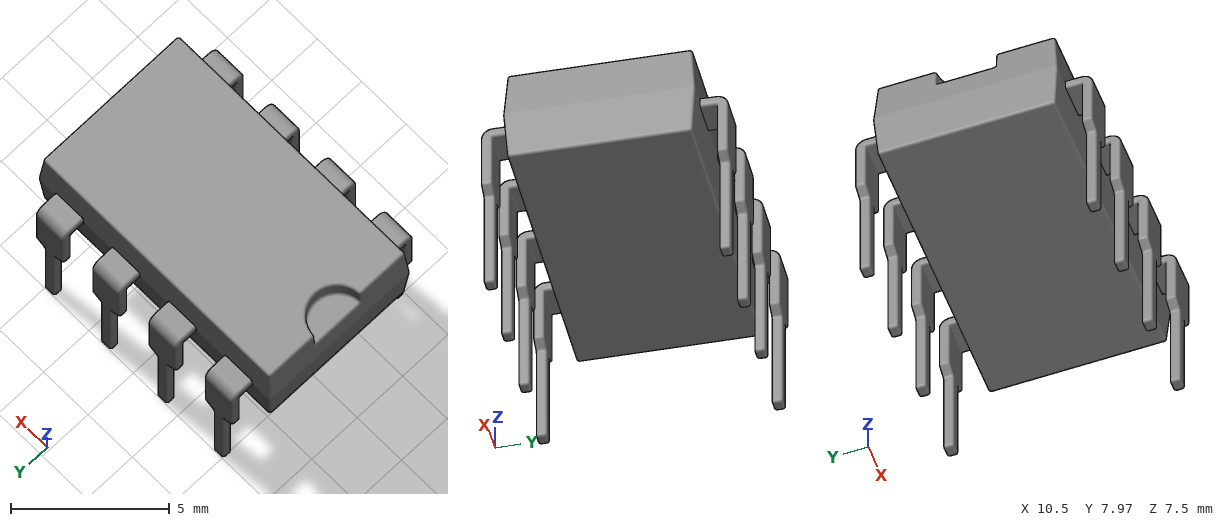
import cadquery as cq
import math

BODY_LENGTH = 10.46
BODY_WIDTH = 6.19
BODY_HEIGHT = 3.35
DRAFT_ANGLE = 4.0
BODY_EDGE_RADIUS = 0.1
TOTAL_HEIGHT = 7.5
LEAD_SPAN = 7.97

half_height = BODY_HEIGHT / 2
draft_inset = half_height * math.tan(math.radians(DRAFT_ANGLE))

NOTCH_RADIUS = 1.0
NOTCH_DEPTH = 0.7
notch_centre_x = -BODY_LENGTH / 2 + draft_inset
notch_floor_z = half_height - NOTCH_DEPTH

LEADS_PER_ROW = 4
LEAD_PITCH = 2.54
LEAD_THICKNESS = 0.36
LEAD_WIDTH = 1.27
LEAD_TIP_WIDTH = 0.47
LEAD_TOP_Z = 0.2
BEND_RADIUS = 0.38
SHOULDER_Z = -2.09
SHOULDER_ANGLE = 30.0
SHOULDER_RADIUS = 0.126
LEAD_EDGE_RADIUS = 0.1
EMBED_DEPTH = 0.5

lead_outer_y = -LEAD_SPAN / 2
lead_inner_y = -BODY_WIDTH / 2 + EMBED_DEPTH
lead_bottom_z = half_height - TOTAL_HEIGHT
shoulder_run = (LEAD_WIDTH - LEAD_TIP_WIDTH) / 2
shoulder_drop = shoulder_run * math.tan(math.radians(SHOULDER_ANGLE))


def make_body():
    """Two drafted halves with a round end notch; all edges but the parting line are rounded."""
    plain_half = (
        cq.Workplane("XY")
        .rect(BODY_LENGTH, BODY_WIDTH)
        .extrude(half_height, taper=DRAFT_ANGLE)
    )
    notch = (
        cq.Workplane("XY", origin=(notch_centre_x, 0, notch_floor_z))
        .circle(NOTCH_RADIUS)
        .extrude(NOTCH_DEPTH)
    )
    upper_half = plain_half.cut(notch).edges("not <Z").fillet(BODY_EDGE_RADIUS)
    lower_half = plain_half.edges("not <Z").fillet(BODY_EDGE_RADIUS).mirror("XY")
    return upper_half.union(lower_half)


def make_lead():
    """One lead of the -Y row, centred on X = 0."""
    side_profile = (
        cq.Workplane("YZ")
        .moveTo(lead_inner_y, LEAD_TOP_Z)
        .lineTo(lead_outer_y, LEAD_TOP_Z)
        .lineTo(lead_outer_y, lead_bottom_z)
        .lineTo(lead_outer_y + LEAD_THICKNESS, lead_bottom_z)
        .lineTo(lead_outer_y + LEAD_THICKNESS, LEAD_TOP_Z - LEAD_THICKNESS)
        .lineTo(lead_inner_y, LEAD_TOP_Z - LEAD_THICKNESS)
        .close()
        .extrude(LEAD_WIDTH / 2, both=True)
    )
    outer_corner = cq.selectors.NearestToPointSelector((0, lead_outer_y, LEAD_TOP_Z))
    inner_corner = cq.selectors.NearestToPointSelector(
        (0, lead_outer_y + LEAD_THICKNESS, LEAD_TOP_Z - LEAD_THICKNESS)
    )
    lead = side_profile.edges("|X").edges(inner_corner).fillet(BEND_RADIUS - LEAD_THICKNESS)
    lead = lead.edges("|X").edges(outer_corner).fillet(BEND_RADIUS)

    for side in (-1, 1):
        wide_x = side * LEAD_WIDTH / 2
        tip_x = side * LEAD_TIP_WIDTH / 2
        waste = (
            cq.Workplane("XZ")
            .moveTo(wide_x, SHOULDER_Z)
            .lineTo(tip_x, SHOULDER_Z - shoulder_drop)
            .lineTo(tip_x, lead_bottom_z)
            .lineTo(wide_x, lead_bottom_z)
            .close()
            .extrude(LEAD_SPAN)
        )
        lead = lead.cut(waste)
    shoulder_zone = cq.selectors.BoxSelector(
        (-LEAD_WIDTH, -LEAD_SPAN, SHOULDER_Z - 2 * shoulder_drop),
        (LEAD_WIDTH, LEAD_SPAN, SHOULDER_Z + shoulder_drop),
    )
    lead = lead.edges("|Y").edges(shoulder_zone).fillet(SHOULDER_RADIUS)

    shoulder_seams = shoulder_zone & cq.selectors.ParallelDirSelector(cq.Vector(0, 1, 0))
    rounded_edges = lead.edges("not ((|X or >Y) exc <Z)").edges(-shoulder_seams)
    return rounded_edges.fillet(LEAD_EDGE_RADIUS)


lead = make_lead()
leads = []
for i in range(LEADS_PER_ROW):
    lead_x = (i - (LEADS_PER_ROW - 1) / 2) * LEAD_PITCH
    front_lead = lead.translate((lead_x, 0, 0))
    leads.append(front_lead)
    leads.append(front_lead.rotate((0, 0, 0), (0, 0, 1), 180))

body = make_body()
for placed_lead in leads:
    body = body.cut(placed_lead)

result = cq.Compound.makeCompound([body.val(), *[placed_lead.val() for placed_lead in leads]])